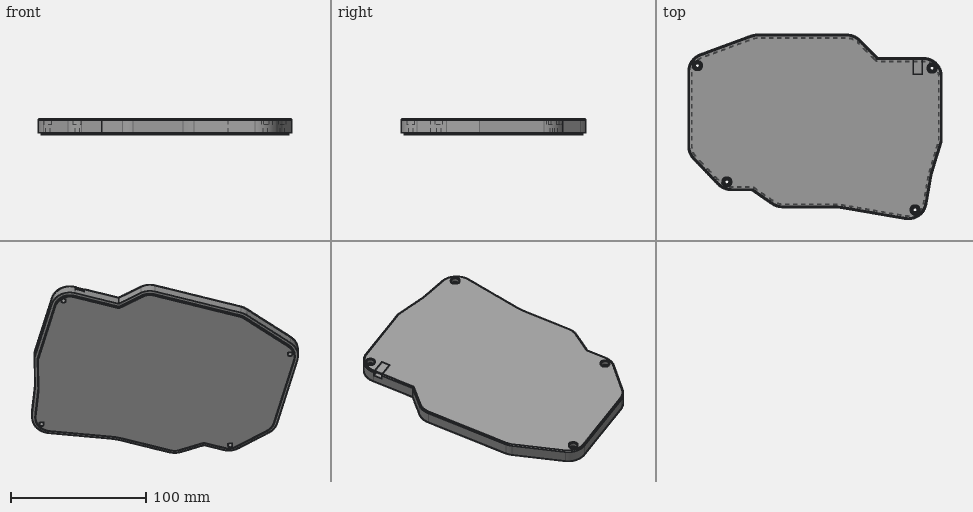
import cadquery as cq
import math

height = 12.0
lip_height = 1.5
lip_inset = 2.3
top_chamfer = 1.0
bottom_chamfer = 0.5

half_length = 94.0
back_y = 68.4
shoulder_y = 51.1
back_end_x = 29.1
front_y = -59.7
foot_y = -47.0
corner_radius = 13.9
bend_radius = 48.8
sharp = 0

shoulder_start_x = back_end_x + back_y - shoulder_y

outline_corners = [
    (-half_length, 50.3, corner_radius),
    (-45.0, back_y, corner_radius),
    (back_end_x, back_y, corner_radius),
    (shoulder_start_x, shoulder_y, sharp),
    (half_length, shoulder_y, corner_radius),
    (half_length, -10.5, sharp),
    (86.5, -35.1, sharp),
    (80.2, -70.6, corner_radius),
    (17.3, front_y, bend_radius),
    (-28.2, front_y, corner_radius),
    (-46.8, foot_y, sharp),
    (-67.8, foot_y, corner_radius),
    (-half_length, -19.7, corner_radius),
]

screw_places = [(-87.0, 45.3), (86.6, 43.4), (-65.2, -40.8), (74.0, -61.5)]
head_diameter = 5.8
head_depth = 4.1
rim_chamfer = 0.5
shank_diameter = 3.4

socket_x = 76.0
socket_width = 6.5
socket_depth = 12.0
socket_height = 3.8
socket_roof = 0.4


def toward(start, end, distance):
    """Point at a distance from start on the way to end."""
    length = math.dist(start, end)
    return tuple(s + (e - s) * distance / length for s, e in zip(start, end))


def corner_points(before, corner, after, radius):
    """Start, middle and end of the arc that rounds a corner."""
    to_before = toward(corner, before, 1.9)
    to_after = toward(corner, after, 1.9)
    half_angle = math.asin(math.dist(to_before, to_after) / 3.8)
    tangent_length = radius / math.tan(half_angle)
    bisector = tuple((p + q) / 2 for p, q in zip(to_before, to_after))
    gap = radius / math.sin(half_angle) - radius
    return (
        toward(corner, before, tangent_length),
        toward(corner, bisector, gap),
        toward(corner, after, tangent_length),
    )


def rounded_outline(corners):
    """Closed outline whose corners are rounded by their own radius."""
    points = [(x, y) for x, y, _ in corners]
    sketch = None
    for i, (x, y, radius) in enumerate(corners):
        if radius == sharp:
            sketch = sketch.lineTo(x, y)
            continue
        before = points[i - 1]
        after = points[(i + 1) % len(points)]
        start, middle, end = corner_points(before, (x, y), after, radius)
        sketch = sketch.lineTo(*start) if sketch else cq.Workplane("XY").moveTo(*start)
        sketch = sketch.threePointArc(middle, end)
    return sketch.close()


def screw_hole(x, y):
    """Through hole with a sunk screw head and a chamfered rim."""
    top = cq.Workplane("XY", origin=(x, y, height))
    shank = top.circle(shank_diameter / 2).extrude(-height)
    head = top.circle(head_diameter / 2).extrude(-head_depth)
    rim = top.circle(head_diameter / 2 + rim_chamfer).extrude(-rim_chamfer, taper=45)
    return shank.union(head).union(rim)


slab = (
    rounded_outline(outline_corners)
    .extrude(height - lip_height)
    .translate((0, 0, lip_height))
    .faces(">Z")
    .chamfer(top_chamfer)
)

lip = (
    rounded_outline(outline_corners)
    .offset2D(-lip_inset)
    .extrude(lip_height)
    .faces("<Z")
    .chamfer(bottom_chamfer)
)
result = slab.union(lip)

for hole_x, hole_y in screw_places:
    result = result.cut(screw_hole(hole_x, hole_y))

socket = cq.Workplane("XY").box(
    socket_width, socket_depth, socket_height, centered=(True, False, False)
)
result = result.cut(
    socket.translate(
        (socket_x, shoulder_y - socket_depth, height - socket_roof - socket_height)
    )
)